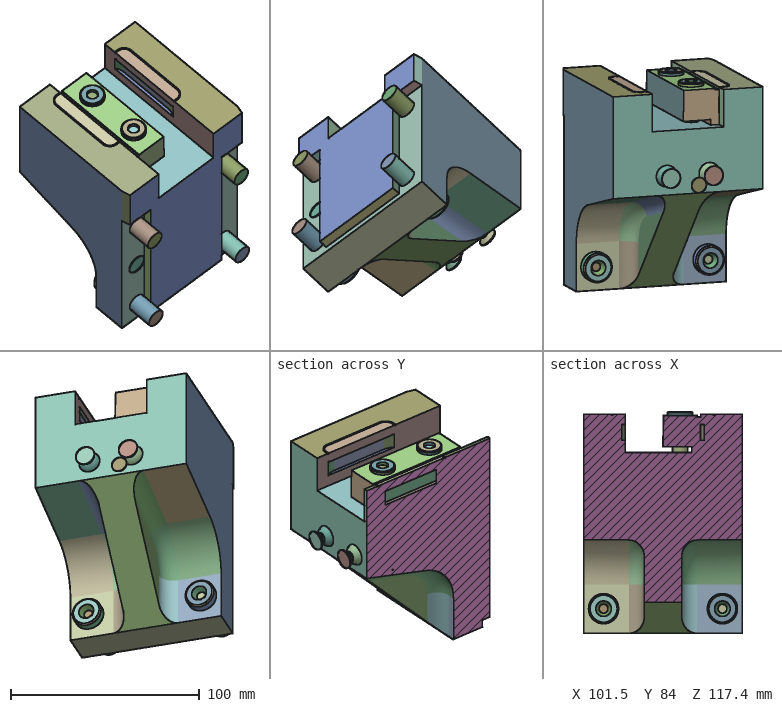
import cadquery as cq
import math

BODY_DEPTH = 78.9
BODY_WIDTH = 84.0
BODY_TOP = 116.0
FRONT_BOTTOM = 61.0
FOOT_FRONT = 58.9
HALF_WIDTH = BODY_WIDTH / 2

RIB_HALF = 10.0
RECESS_FILLET = 8.1
ROOF_ANGLE = math.radians(15)
BEND_HEIGHT = 25.8

BACK = 83.8
PAD_BOTTOM = 4.3
PAD_HALF = 25.8
SHOULDER_BOTTOM = 90.8
SHOULDER_TAPER = 1.3

CHANNEL_HALF = 20.0
CHANNEL_FLOOR = 95.8
INSERT_START = 7.5
INSERT_END = 53.5
INSERT_REACH = 7.3
INSERT_RADIUS = 5.0
GROOVE_WIDTH = 0.5
GROOVE_DEPTH = 0.5
WINDOW_START = 7.5
WINDOW_END = 52.6
WINDOW_BOTTOM = 102.2
WINDOW_TOP = 110.4
WINDOW_DEPTH = 1.9
WINDOW_RADIUS = 9.0

CLAMP_START = 7.2
CLAMP_END = 66.8
CLAMP_TOP = 115.4
CLAMP_BOTTOM = 98.7
CLAMP_INNER = 0.1
CLAMP_DRAFT = 0.4
CLAMP_STEP_Y = -18.1
CLAMP_STEP_DEPTH = 0.8
CLAMP_HEEL_Y = -15.1

CLAMP_SCREW_X = (21.1, 52.9)
CLAMP_SCREW_Y = -9.0
CLAMP_STEM_RADIUS = 4.1
CLAMP_HEAD_RADIUS = 6.7
CLAMP_HEAD_TOP = 117.4
CLAMP_HEAD_CHAMFER = 0.6
CLAMP_SOCKET_RADIUS = 3.0
CLAMP_SOCKET_DEPTH = 1.8

SCREW_Y = 31.5
LOWER_SCREW_Z = 13.0
UPPER_SCREW_Z = 78.0
SCREW_RADIUS = 5.0
LOWER_SCREW_END = 93.9
UPPER_SCREW_END = 93.0
SCREW_HEAD_RADIUS = 8.0
SCREW_HEAD_HEIGHT = 5.2
SCREW_HEAD_CHAMFER = 0.8
SOCKET_MOUTH_RADIUS = 4.1
SOCKET_FLOOR_RADIUS = 2.3
SOCKET_DEPTH = 3.5

NOZZLE_Y = 12.0
NOZZLE_Z = 71.3
NOZZLE_REACH = 7.6
NOZZLE_TIP_RADIUS = 5.2
TIP_RIM = 0.6
NOZZLE_NECK_RADIUS = 2.6
NOZZLE_NECK_START = 4.7
BALL_RADIUS = 6.0
BALL_INSET = 1.6
BALL_REACH = 3.5
PLUG_Y = -5.4
PLUG_Z = 65.7
PLUG_RADIUS = 4.1
PLUG_ROOT_RADIUS = 2.1
PLUG_REACH = 2.6
REAR_PLUG_Z = 45.3
REAR_PLUG_RADIUS = 5.4
REAR_PLUG_REACH = 0.5

EMBED = 2.3
CLEAR = 11.7


def box(x_range, y_range, z_range):
    """Box between pairs of limits on each axis."""
    lows, highs = zip(x_range, y_range, z_range)
    size = [high - low for low, high in zip(lows, highs)]
    return cq.Workplane("XY").box(*size, centered=False).translate(lows)


def turned_x(points, y, z):
    """Solid of revolution from (x, radius) points, with its axis along X at (y, z)."""
    outline = [(points[0][0], 0)] + points + [(points[-1][0], 0)]
    turned = cq.Workplane("XY").polyline(outline).close().revolve(360, (0, 0, 0), (1, 0, 0))
    return turned.translate((0, y, z))


def main_block():
    """Wedge-bottomed block with the side outline seen along Y."""
    outline = [
        (0, FRONT_BOTTOM),
        (FOOT_FRONT, 0),
        (BODY_DEPTH, 0),
        (BODY_DEPTH, BODY_TOP),
        (0, BODY_TOP),
    ]
    return cq.Workplane("XZ").polyline(outline).close().extrude(HALF_WIDTH, both=True)


def side_recess():
    """Cutter on the +Y side: sloped roof, round bend, upright wall, filleted to the rib."""
    sine, cosine = math.sin(ROOF_ANGLE), math.cos(ROOF_ANGLE)
    roof_offset = FRONT_BOTTOM * cosine
    bend_radius = (roof_offset - FOOT_FRONT * sine - BEND_HEIGHT * cosine) / (1 - sine)
    centre_x = FOOT_FRONT - bend_radius

    def on_bend(angle):
        return (
            centre_x + bend_radius * math.cos(angle),
            BEND_HEIGHT + bend_radius * math.sin(angle),
        )

    roof_end_angle = math.pi / 2 - ROOF_ANGLE
    cutter = (
        cq.Workplane("XZ", origin=(0, RIB_HALF, 0))
        .moveTo(-CLEAR, FRONT_BOTTOM + CLEAR * math.tan(ROOF_ANGLE))
        .lineTo(*on_bend(roof_end_angle))
        .threePointArc(on_bend(roof_end_angle / 2), (FOOT_FRONT, BEND_HEIGHT))
        .lineTo(FOOT_FRONT, -CLEAR)
        .lineTo(-CLEAR, -CLEAR)
        .close()
        .extrude(-(HALF_WIDTH + CLEAR))
    )
    wall_edge = cq.selectors.NearestToPointSelector((FOOT_FRONT, RIB_HALF, BEND_HEIGHT / 2))
    return cutter.edges(wall_edge).fillet(RECESS_FILLET)


def back_pad():
    """Raised pad on the back face and the wider tapered shoulder at its top."""
    pad = box((BODY_DEPTH - EMBED, BACK), (-PAD_HALF, PAD_HALF), (PAD_BOTTOM, BODY_TOP))
    narrow_half = HALF_WIDTH - SHOULDER_TAPER
    outline = [
        (BODY_DEPTH, -HALF_WIDTH),
        (BACK, -narrow_half),
        (BACK, narrow_half),
        (BODY_DEPTH, HALF_WIDTH),
    ]
    shoulder = (
        cq.Workplane("XY", origin=(0, 0, SHOULDER_BOTTOM))
        .polyline(outline)
        .close()
        .extrude(BODY_TOP - SHOULDER_BOTTOM)
    )
    return pad.union(shoulder)


def channel():
    """Cutter for the rectangular channel that runs through along X."""
    return box(
        (-CLEAR, BACK + CLEAR),
        (-CHANNEL_HALF, CHANNEL_HALF),
        (CHANNEL_FLOOR, BODY_TOP + CLEAR),
    )


def insert_plan(inset):
    """Round-cornered block spanning both inserts, shrunk by the inset, at groove depth."""
    half_span = CHANNEL_HALF + INSERT_REACH - inset
    block = box(
        (INSERT_START + inset, INSERT_END - inset),
        (-half_span, half_span),
        (BODY_TOP - GROOVE_DEPTH, BODY_TOP),
    )
    return block.edges("|Z").fillet(INSERT_RADIUS - inset)


def wall_windows():
    """Cutter for the shallow windows in both channel walls, with rounded end runouts."""
    half_span = CHANNEL_HALF + WINDOW_DEPTH
    arc_run = math.sqrt(WINDOW_RADIUS**2 - (WINDOW_RADIUS - WINDOW_DEPTH) ** 2)
    overrun = WINDOW_RADIUS - arc_run
    block = box(
        (WINDOW_START - overrun, WINDOW_END + overrun),
        (-half_span, half_span),
        (WINDOW_BOTTOM, WINDOW_TOP),
    )
    return block.edges("|Z").fillet(WINDOW_RADIUS)


def clamp_bar():
    """Clamp bar with a heel on the channel floor and a relief along its top edge."""
    outline = [
        (-CHANNEL_HALF, CHANNEL_FLOOR),
        (CLAMP_HEEL_Y, CHANNEL_FLOOR),
        (CLAMP_HEEL_Y, CLAMP_BOTTOM),
        (CLAMP_INNER, CLAMP_BOTTOM),
        (CLAMP_INNER - CLAMP_DRAFT, CLAMP_TOP),
        (CLAMP_STEP_Y, CLAMP_TOP),
        (CLAMP_STEP_Y, CLAMP_TOP - CLAMP_STEP_DEPTH),
        (-CHANNEL_HALF, CLAMP_TOP - CLAMP_STEP_DEPTH),
    ]
    return (
        cq.Workplane("YZ", origin=(CLAMP_START, 0, 0))
        .polyline(outline)
        .close()
        .extrude(CLAMP_END - CLAMP_START)
    )


def clamp_screw(x):
    """Upright screw through the clamp bar with a chamfered, socketed head."""
    stem_bottom = CHANNEL_FLOOR - EMBED
    stem = (
        cq.Workplane("XY", origin=(x, CLAMP_SCREW_Y, stem_bottom))
        .circle(CLAMP_STEM_RADIUS)
        .extrude(CLAMP_TOP - stem_bottom)
    )
    head = (
        cq.Workplane("XY", origin=(x, CLAMP_SCREW_Y, CLAMP_TOP))
        .circle(CLAMP_HEAD_RADIUS)
        .extrude(CLAMP_HEAD_TOP - CLAMP_TOP)
        .faces(">Z")
        .chamfer(CLAMP_HEAD_CHAMFER)
    )
    socket = (
        cq.Workplane("XY", origin=(x, CLAMP_SCREW_Y, CLAMP_HEAD_TOP))
        .circle(CLAMP_SOCKET_RADIUS)
        .extrude(-CLAMP_SOCKET_DEPTH)
    )
    return stem.union(head).cut(socket)


def screw_shank(end, y, z):
    """Plain cylindrical shank that stands out of the back face."""
    return turned_x([(BODY_DEPTH - EMBED, SCREW_RADIUS), (end, SCREW_RADIUS)], y, z)


def screw_head(y):
    """Chamfered head on the foot with a tapered socket."""
    front = FOOT_FRONT - SCREW_HEAD_HEIGHT
    head = turned_x(
        [
            (front, SCREW_HEAD_RADIUS - SCREW_HEAD_CHAMFER),
            (front + SCREW_HEAD_CHAMFER, SCREW_HEAD_RADIUS),
            (FOOT_FRONT + EMBED, SCREW_HEAD_RADIUS),
        ],
        y,
        LOWER_SCREW_Z,
    )
    socket = turned_x(
        [(front, SOCKET_MOUTH_RADIUS), (front + SOCKET_DEPTH, SOCKET_FLOOR_RADIUS)],
        y,
        LOWER_SCREW_Z,
    )
    return head.cut(socket)


def nozzle(y):
    """Ball seated in the front face with a short neck and a flared tip."""
    ball = (
        cq.Workplane("XY")
        .sphere(BALL_RADIUS)
        .translate((BALL_INSET, y, NOZZLE_Z))
        .intersect(
            box(
                (-BALL_REACH, EMBED),
                (y - BALL_RADIUS, y + BALL_RADIUS),
                (NOZZLE_Z - BALL_RADIUS, NOZZLE_Z + BALL_RADIUS),
            )
        )
    )
    flare = turned_x(
        [
            (-NOZZLE_REACH, NOZZLE_TIP_RADIUS),
            (TIP_RIM - NOZZLE_REACH, NOZZLE_TIP_RADIUS),
            (-NOZZLE_NECK_START, NOZZLE_NECK_RADIUS),
            (0, NOZZLE_NECK_RADIUS),
        ],
        y,
        NOZZLE_Z,
    )
    return ball.union(flare)


def front_plug():
    """Flared plug low on the front face, beside the -Y nozzle."""
    return turned_x(
        [
            (-PLUG_REACH, PLUG_RADIUS),
            (TIP_RIM - PLUG_REACH, PLUG_RADIUS),
            (0, PLUG_ROOT_RADIUS),
            (EMBED, PLUG_ROOT_RADIUS),
        ],
        PLUG_Y,
        PLUG_Z,
    )


def rear_plug():
    """Thin disc standing just proud of the back face."""
    return turned_x(
        [
            (BODY_DEPTH - EMBED, REAR_PLUG_RADIUS),
            (BODY_DEPTH + REAR_PLUG_REACH, REAR_PLUG_RADIUS),
        ],
        -SCREW_Y,
        REAR_PLUG_Z,
    )


recess = side_recess()
body = main_block().cut(recess).cut(recess.mirror("XZ"))
body = body.union(back_pad()).cut(channel())
body = body.cut(insert_plan(0).cut(insert_plan(GROOVE_WIDTH)))
body = body.cut(wall_windows())

body = body.union(clamp_bar())
for screw_x in CLAMP_SCREW_X:
    body = body.union(clamp_screw(screw_x))

for side in (-1, 1):
    body = body.union(screw_shank(LOWER_SCREW_END, side * SCREW_Y, LOWER_SCREW_Z))
    body = body.union(screw_shank(UPPER_SCREW_END, side * SCREW_Y, UPPER_SCREW_Z))
    body = body.union(screw_head(side * SCREW_Y))
    body = body.union(nozzle(side * NOZZLE_Y))
body = body.union(front_plug()).union(rear_plug())

result = body